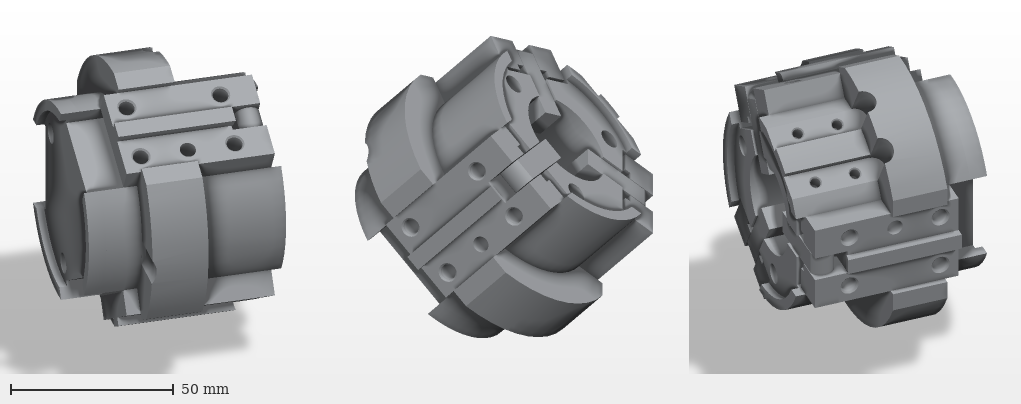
import cadquery as cq
import math

total_length = 63.0
jaw_angles = (60, 180, 300)
screw_flat_angle = 120

housing_radius = 32.4
cover_thickness = 5.5
recess_radius = 29
recess_depth = 2.5
seat_distance = 23.4
bore_radius = 32.0 / 2
bolt_hole_diameter = 6.5
bolt_circle_radius = 23.4
bolt_angles = (20, 140, 260)

ring_radius = 44
ring_front = 17.0
ring_length = 17.9
ring_back = ring_front + ring_length
ring_flat_distance = 38.9
groove_diameter = 14.0
groove_width = 8.35
groove_angle = -5

screw_flat_distance = 30.0
screw_ridge_width = 9.0
screw_hole_diameter = 3.25
screw_mouth_diameter = 4.05
screw_hole_depth = 5.7
screw_hole_offset = 8.6
screw_hole_positions = (41.0, 54.0)
notch_diameter = 8.0

jaw_width = 29
jaw_inner = 25.3
jaw_outer = 36.9
jaw_front = 12.5
jaw_back = 59.9
jaw_chamfer = 4.1
relief_depth = 2.1
relief_width = 14.1
rail_width = 5.2
rail_outer = 39.6
jaw_screw_diameter = 4.9
jaw_screw_mouth_diameter = 6.0
dowel_diameter = 5.0
jaw_hole_offset = 9.0
jaw_screw_positions = (18.5, 48.4)
dowel_position = sum(jaw_screw_positions) / 2

lever_axis = 56.0
lever_width = 7.6
lever_thickness = 7.7
lever_inner = 9.7
lever_tip = 35.8
lever_tip_radius = 8.5 / 2
lever_taper_angle = 4
slot_width = 8.1
slot_front = lever_axis - 14.0 / 2
rail_clearance_radius = 13.0 / 2


def block(x_range, y_range, width):
    """Box over a radial and an axial range, centred on z = 0."""
    x_size = x_range[1] - x_range[0]
    y_size = y_range[1] - y_range[0]
    return cq.Workplane("XY").box(x_size, y_size, width).translate((sum(x_range) / 2, sum(y_range) / 2, 0))


def disc(radius, y_range, x=0):
    """Cylinder along Y."""
    return cq.Workplane("XZ", origin=(x, y_range[0], 0)).circle(radius).extrude(y_range[0] - y_range[1])


def radial_pin(diameter, x_range, y, z=0):
    """Cylinder along X."""
    return cq.Workplane("YZ", origin=(x_range[0], y, z)).circle(diameter / 2).extrude(x_range[1] - x_range[0])


def countersink(hole_diameter, mouth_diameter, x_mouth, y, z):
    """45 degree cone narrowing inward from a hole mouth."""
    depth = (mouth_diameter - hole_diameter) / 2
    cone = cq.Solid.makeCone(
        mouth_diameter / 2, hole_diameter / 2, depth, cq.Vector(x_mouth, y, z), cq.Vector(-1, 0, 0)
    )
    return cq.Workplane(cone)


def turned(shape, angle):
    """Turn a shape from +X to the given angle, counted from +X towards +Z."""
    return shape.rotate((0, 0, 0), (0, 1, 0), -angle)


def cut_bolt_holes(body):
    for angle in bolt_angles:
        bolt = disc(bolt_hole_diameter / 2, (0, total_length), bolt_circle_radius)
        body = body.cut(turned(bolt, angle))
    return body


def cut_jaw_seats(body):
    seat = block((seat_distance, 2 * ring_radius), (0, total_length), jaw_width)
    for angle in jaw_angles:
        body = body.cut(turned(seat, angle))
    return body


def make_ring():
    """Outer ring with a flat beside each jaw and a shallow radial groove in its front face."""
    ring = disc(ring_radius, (ring_front, ring_back))
    beyond_flat = block((ring_flat_distance, 2 * ring_radius), (ring_front, ring_back), 2 * ring_radius)
    for angle in jaw_angles:
        ring = ring.cut(turned(beyond_flat, angle))
    groove_axis = ring_front - math.sqrt(groove_diameter**2 - groove_width**2) / 2
    groove = radial_pin(groove_diameter, (housing_radius, 2 * ring_radius), groove_axis)
    return ring.cut(turned(groove, groove_angle))


def cut_screw_flats(body):
    """Two flats with a round-topped ridge between, their screw holes and driver notches."""
    y_range = (ring_back, total_length)
    flats = block((screw_flat_distance, ring_radius), y_range, 2 * housing_radius)
    flats = flats.cut(block((0, ring_radius), y_range, screw_ridge_width))
    tools = [flats]
    hole_floor = screw_flat_distance - screw_hole_depth
    for side in (-1, 1):
        z = side * screw_hole_offset
        tools.append(radial_pin(notch_diameter, (screw_flat_distance, ring_radius), ring_back, z))
        for y in screw_hole_positions:
            tools.append(radial_pin(screw_hole_diameter, (hole_floor, screw_flat_distance), y, z))
            tools.append(countersink(screw_hole_diameter, screw_mouth_diameter, screw_flat_distance, y, z))
    for tool in tools:
        body = body.cut(turned(tool, screw_flat_angle))
    return body


def make_housing():
    """Drum with its ring, recessed at the back, with a central bore and lever slots."""
    body = disc(housing_radius, (cover_thickness, total_length)).union(make_ring())
    body = cut_jaw_seats(cut_screw_flats(body))
    body = body.cut(disc(recess_radius, (total_length - recess_depth, total_length)))
    body = body.cut(disc(bore_radius, (cover_thickness, total_length)))
    lever_slot = block((0, ring_radius), (slot_front, total_length), slot_width)
    for angle in jaw_angles:
        body = body.cut(turned(lever_slot, angle))
    return cut_bolt_holes(body)


def make_cover():
    """Front disc with a raised rim, following the jaw seats of the housing."""
    body = disc(housing_radius, (0, cover_thickness)).cut(disc(recess_radius, (0, recess_depth)))
    return cut_bolt_holes(cut_jaw_seats(body))


def make_jaw(angle):
    """Block with an outer rail, a slot for the lever and a wider relief at the inner end of the slot."""
    outline = [
        (jaw_inner + jaw_chamfer, jaw_front),
        (jaw_outer, jaw_front),
        (jaw_outer, jaw_back),
        (jaw_inner, jaw_back),
        (jaw_inner, jaw_front + jaw_chamfer),
    ]
    body = cq.Workplane("XY").polyline(outline).close().extrude(jaw_width / 2, both=True)
    rail = block((jaw_outer, rail_outer), (jaw_front, lever_axis), rail_width)
    swing = cq.Workplane("XY", origin=(jaw_outer, lever_axis, 0)).circle(rail_clearance_radius)
    body = body.union(rail.cut(swing.extrude(rail_width, both=True)))
    body = body.cut(block((0, jaw_outer), (slot_front, total_length), slot_width))
    relief = (jaw_inner, jaw_inner + relief_depth)
    body = body.cut(block(relief, (slot_front, jaw_back), relief_width))
    through = (0, rail_outer)
    for y in jaw_screw_positions:
        for z in (-jaw_hole_offset, jaw_hole_offset):
            body = body.cut(radial_pin(jaw_screw_diameter, through, y, z))
            body = body.cut(countersink(jaw_screw_diameter, jaw_screw_mouth_diameter, jaw_outer, y, z))
    body = body.cut(radial_pin(dowel_diameter, through, dowel_position, -jaw_hole_offset))
    return turned(body, angle)


def make_lever(angle):
    """Radial arm with a rounded tip, its front side widening inward."""
    half = lever_thickness / 2
    tip_rise = lever_tip_radius - math.sqrt(lever_tip_radius**2 - half**2)
    shoulder = lever_tip - tip_rise
    widening = (shoulder - lever_inner) * math.tan(math.radians(lever_taper_angle))
    body = (
        cq.Workplane("XY")
        .moveTo(lever_inner, lever_axis + half)
        .lineTo(shoulder, lever_axis + half)
        .threePointArc((lever_tip, lever_axis), (shoulder, lever_axis - half))
        .lineTo(lever_inner, lever_axis - half - widening)
        .close()
        .extrude(lever_width / 2, both=True)
    )
    return turned(body, angle)


housing = make_housing()
cover = make_cover()
jaws = [make_jaw(angle) for angle in jaw_angles]
levers = [make_lever(angle) for angle in jaw_angles]

result = cq.Compound.makeCompound(
    [housing.val(), cover.val(), *[jaw.val() for jaw in jaws], *[lever.val() for lever in levers]]
)